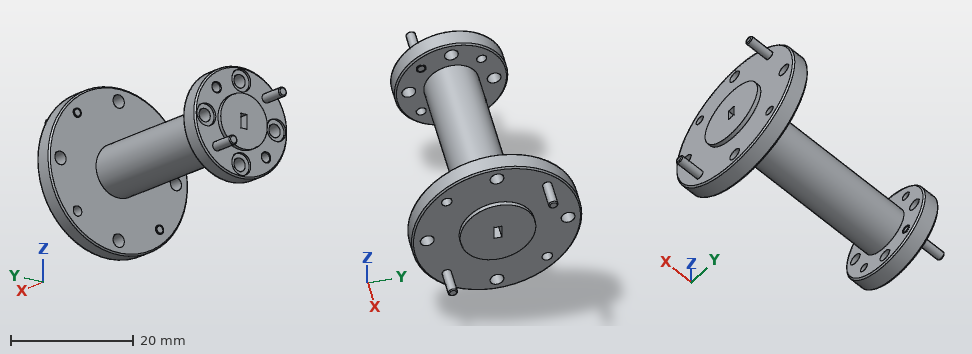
import cadquery as cq
import math

FLANGE_THICKNESS = 3.3
PIN_PROTRUSION = 4.65
BOSS_HEIGHT = 0.75
TUBE_LENGTH = 30.0
SMALL_FLANGE_X = PIN_PROTRUSION
TUBE_X = SMALL_FLANGE_X + FLANGE_THICKNESS
LARGE_FLANGE_X = TUBE_X + TUBE_LENGTH
LARGE_FLANGE_END_X = LARGE_FLANGE_X + FLANGE_THICKNESS

SMALL_FLANGE_DIAMETER = 19.05
LARGE_FLANGE_DIAMETER = 28.55
FLANGE_CHAMFER = 0.28
TUBE_DIAMETER = 9.25
SMALL_BOSS_DIAMETER = 9.55
LARGE_BOSS_DIAMETER = 12.7
GUIDE_WIDTH = 1.3
GUIDE_HEIGHT = 2.5

SMALL_BOLT_CIRCLE_RADIUS = 7.15
LARGE_BOLT_CIRCLE_RADIUS = 11.9
BOLT_HOLE_DIAMETER = 2.3
COUNTERBORE_DIAMETER = 3.85
COUNTERBORE_DEPTH = 0.45
SMALL_BOLT_ANGLES = (0, 90, 180, 270)

LARGE_BOLT_ANGLES = (0, 90, 270)
INSET_BOLT_ANGLE = 180
INSET_BOLT_RADIUS = 11.7

SMALL_PIN_DIAMETER = 1.6
LARGE_PIN_DIAMETER = 1.55
PIN_CHAMFER = 0.2
SMALL_PIN_ANGLES = (135, 315)
LARGE_PIN_ANGLES = (45, 225)
SMALL_DOWEL_HOLE_DIAMETER = 1.65
LARGE_DOWEL_HOLE_DIAMETER = 1.75
DOWEL_HOLE_CHAMFER = 0.15
PIN_LENGTH = FLANGE_THICKNESS + PIN_PROTRUSION


def disc(x, diameter, length):
    """Cylinder along +X, centred on the X axis, starting at x."""
    return cq.Workplane("YZ", origin=(x, 0, 0)).circle(diameter / 2).extrude(length)


def on_circle(radius, angle):
    """Y and Z of a point on a circle about the X axis, with the angle measured from +Y towards +Z."""
    turn = math.radians(angle)
    return radius * math.cos(turn), radius * math.sin(turn)


def drill(body, x, radius, angles, diameter, depth):
    """Cut a ring of round holes into the body, starting at x and running towards +X."""
    centres = [on_circle(radius, angle) for angle in angles]
    holes = cq.Workplane("YZ", origin=(x, 0, 0)).pushPoints(centres).circle(diameter / 2).extrude(depth)
    return body.cut(holes)


def countersink(body, x, radius, angles, diameter, chamfer):
    """Break the -X rim of a ring of holes with a 45 degree chamfer."""
    for angle in angles:
        y, z = on_circle(radius, angle)
        cone = cq.Solid.makeCone(
            diameter / 2 + chamfer, diameter / 2, chamfer, cq.Vector(x, y, z), cq.Vector(1, 0, 0)
        )
        body = body.cut(cq.Workplane(cone))
    return body


def make_flange(x, diameter):
    return disc(x, diameter, FLANGE_THICKNESS).edges().chamfer(FLANGE_CHAMFER)


def make_small_flange():
    x = SMALL_FLANGE_X
    radius = SMALL_BOLT_CIRCLE_RADIUS
    flange = make_flange(x, SMALL_FLANGE_DIAMETER)
    flange = drill(flange, x, radius, SMALL_BOLT_ANGLES, BOLT_HOLE_DIAMETER, FLANGE_THICKNESS)
    flange = drill(flange, x, radius, SMALL_BOLT_ANGLES, COUNTERBORE_DIAMETER, COUNTERBORE_DEPTH)
    flange = drill(flange, x, radius, LARGE_PIN_ANGLES, SMALL_DOWEL_HOLE_DIAMETER, FLANGE_THICKNESS)
    flange = countersink(flange, x, radius, LARGE_PIN_ANGLES, SMALL_DOWEL_HOLE_DIAMETER, DOWEL_HOLE_CHAMFER)
    return drill(flange, x, radius, SMALL_PIN_ANGLES, SMALL_PIN_DIAMETER, FLANGE_THICKNESS)


def make_large_flange():
    x = LARGE_FLANGE_X
    radius = LARGE_BOLT_CIRCLE_RADIUS
    flange = make_flange(x, LARGE_FLANGE_DIAMETER)
    flange = drill(flange, x, radius, LARGE_BOLT_ANGLES, BOLT_HOLE_DIAMETER, FLANGE_THICKNESS)
    flange = drill(flange, x, INSET_BOLT_RADIUS, [INSET_BOLT_ANGLE], BOLT_HOLE_DIAMETER, FLANGE_THICKNESS)
    flange = drill(flange, x, radius, SMALL_PIN_ANGLES, LARGE_DOWEL_HOLE_DIAMETER, FLANGE_THICKNESS)
    return drill(flange, x, radius, LARGE_PIN_ANGLES, LARGE_PIN_DIAMETER, FLANGE_THICKNESS)


def make_waveguide():
    """Tube with a flange and a raised boss at each end and a rectangular passage right through."""
    body = make_small_flange().union(disc(TUBE_X, TUBE_DIAMETER, TUBE_LENGTH)).union(make_large_flange())
    body = body.union(disc(SMALL_FLANGE_X - BOSS_HEIGHT, SMALL_BOSS_DIAMETER, BOSS_HEIGHT))
    body = body.union(disc(LARGE_FLANGE_END_X, LARGE_BOSS_DIAMETER, BOSS_HEIGHT))
    passage = (
        cq.Workplane("YZ", origin=(SMALL_FLANGE_X - BOSS_HEIGHT, 0, 0))
        .rect(GUIDE_WIDTH, GUIDE_HEIGHT)
        .extrude(LARGE_FLANGE_END_X - SMALL_FLANGE_X + 2 * BOSS_HEIGHT)
    )
    return body.cut(passage)


def make_pin(x, radius, angle, diameter):
    """Dowel pin along +X with both ends chamfered."""
    y, z = on_circle(radius, angle)
    return disc(x, diameter, PIN_LENGTH).edges().chamfer(PIN_CHAMFER).translate((0, y, z))


waveguide = make_waveguide()
small_flange_pins = [
    make_pin(0, SMALL_BOLT_CIRCLE_RADIUS, angle, SMALL_PIN_DIAMETER) for angle in SMALL_PIN_ANGLES
]
large_flange_pins = [
    make_pin(LARGE_FLANGE_X, LARGE_BOLT_CIRCLE_RADIUS, angle, LARGE_PIN_DIAMETER)
    for angle in LARGE_PIN_ANGLES
]

pins = small_flange_pins + large_flange_pins
result = cq.Compound.makeCompound([waveguide.val(), *[pin.val() for pin in pins]])